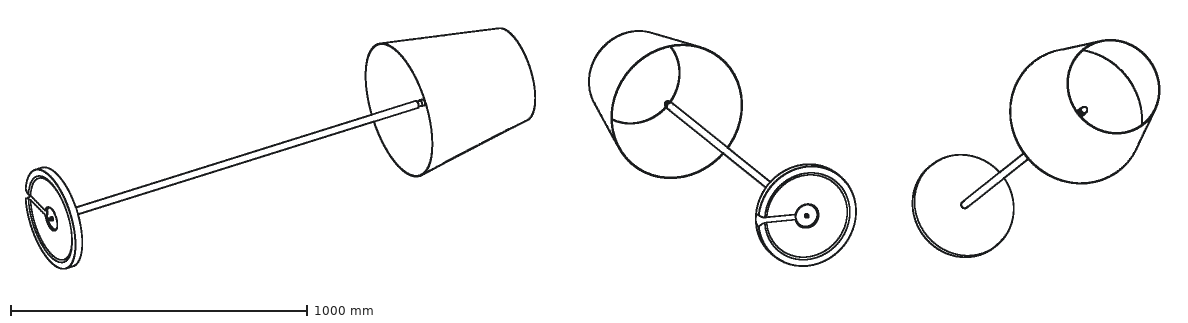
import cadquery as cq

total_length = 1783.89

base_diameter = 350.0
base_thickness = 27.0
base_edge_chamfer = 1.0
recess_mouth_diameter = 304.0
recess_floor_diameter = 288.0
recess_depth = 3.5
hub_mouth_diameter = 84.0
hub_floor_diameter = 76.0
hub_depth = 8.0

channel_diameter = 18.0
flare_length = 30.0
flare_diameter = 45.0

bolt_diameter = 8.0
bolt_head_diameter = 13.0
bolt_head_height = 5.0
bolt_projection = 4.0
bolt_reach_in_pole = 30.0

pole_diameter = 25.0
collar_diameter = 22.0
collar_length = 3.0
pole_end_height = 1414.0
stud_diameter = 18.0
stud_length = 14.0
knob_diameter = 22.0
knob_length = 10.0

shade_rim_diameter = 468.29
shade_top_diameter = 326.0
shade_height = 436.0
shade_wall = 3.0

bolt_tip_y = -total_length / 2
base_bottom_y = bolt_tip_y + bolt_projection
base_top_y = base_bottom_y + base_thickness
recess_floor_y = base_bottom_y + recess_depth
hub_floor_y = base_bottom_y + hub_depth
pole_end_y = base_bottom_y + pole_end_height
shade_top_y = total_length / 2
shade_rim_y = shade_top_y - shade_height


def revolved(profile):
    """Turn a closed (radius, y) profile about the lamp axis."""
    return cq.Workplane("XY").polyline(profile).close().revolve(360, (0, 0), (0, 1))


def rod(diameter, start_y, end_y):
    """Round bar on the lamp axis."""
    circle = cq.Workplane("XZ", origin=(0, start_y, 0)).circle(diameter / 2)
    return circle.extrude(start_y - end_y)


def tapered_recess(mouth_diameter, floor_diameter, mouth_y, floor_y):
    """Round recess that narrows from its mouth to its floor."""
    return revolved([
        (0, mouth_y),
        (mouth_diameter / 2, mouth_y),
        (floor_diameter / 2, floor_y),
        (0, floor_y),
    ])


def make_cable_outlet():
    """Half-round channel in the recess floor that flares out like a trumpet at the rim."""
    rim_x = -base_diameter / 2
    hub_x = -hub_floor_diameter / 2
    channel_radius = channel_diameter / 2
    outlet = (
        cq.Workplane("XY")
        .moveTo(hub_x, 0)
        .lineTo(hub_x, channel_radius)
        .lineTo(rim_x + flare_length, channel_radius)
        .tangentArcPoint((rim_x, flare_diameter / 2), relative=False)
        .lineTo(rim_x, 0)
        .close()
        .revolve(360, (0, 0), (1, 0))
    )
    return outlet.translate((0, recess_floor_y, 0))


def make_base():
    disc = rod(base_diameter, base_bottom_y, base_top_y).faces("<Y").edges().chamfer(base_edge_chamfer)
    recess = tapered_recess(recess_mouth_diameter, recess_floor_diameter, base_bottom_y, recess_floor_y)
    hub = tapered_recess(hub_mouth_diameter, hub_floor_diameter, recess_floor_y, hub_floor_y)
    bolt_hole = rod(bolt_diameter, base_bottom_y, base_top_y)
    return disc.cut(recess).cut(hub).cut(make_cable_outlet()).cut(bolt_hole)


def make_bolt():
    """Stem through the base, with a head that bears on the hub floor and a tip below it."""
    stem = rod(bolt_diameter, bolt_tip_y, base_top_y + bolt_reach_in_pole)
    head = rod(bolt_head_diameter, hub_floor_y - bolt_head_height, hub_floor_y)
    return stem.union(head)


def make_pole():
    collar_top_y = base_top_y + collar_length
    stud_end_y = pole_end_y + stud_length
    pole = (
        rod(collar_diameter, base_top_y, collar_top_y)
        .union(rod(pole_diameter, collar_top_y, pole_end_y))
        .union(rod(stud_diameter, pole_end_y, stud_end_y))
        .union(rod(knob_diameter, stud_end_y, stud_end_y + knob_length))
    )
    return pole.cut(make_bolt())


def make_shade():
    """Thin cone, open at both ends."""
    rim_radius = shade_rim_diameter / 2
    top_radius = shade_top_diameter / 2
    return revolved([
        (rim_radius - shade_wall, shade_rim_y),
        (rim_radius, shade_rim_y),
        (top_radius, shade_top_y),
        (top_radius - shade_wall, shade_top_y),
    ])


base = make_base()
bolt = make_bolt()
pole = make_pole()
shade = make_shade()

result = cq.Compound.makeCompound([base.val(), bolt.val(), pole.val(), shade.val()])